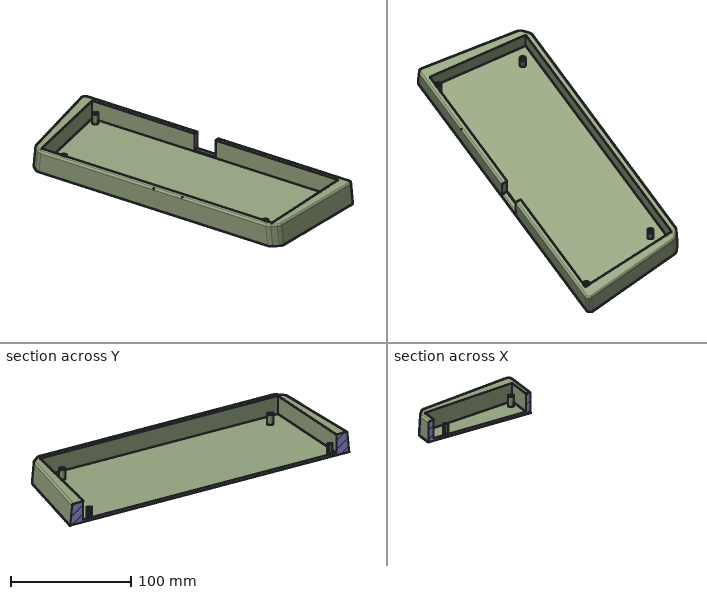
import cadquery as cq

width = 270.0
depth = 100.2
height = 20.0

corner_overhang = 0.5
back_half_width = width / 2 + corner_overhang
chamfer_side_inset = 11.5
chamfer_side_y = 6.5
chamfer_front_inset = 19.5
side_lean = 2.0
back_corner_radius = 3.8
front_corner_radius = 6.2
rim_radius = 1.5

floor_thickness = 3.0
back_wall = 5.0
front_wall = 5.5
cavity_back_half_width = 121.8
cavity_front_half_width = 114.2

notch_left = -20.5
notch_right = 0.5
notch_floor = 4.0
sill_edge_radius = 1.0

standoff_diameter = 5.0
standoff_bore = 2.0
standoff_height = 9.2
back_standoff_x = 115.5
front_standoff_x = 100.0
back_standoff_inset = 10.0
front_standoff_inset = 17.3

back_y = depth / 2
front_y = -depth / 2


def outer_outline(lean):
    """Right half of the sharp outer outline, from back to front, moved inward by the lean."""
    return [
        (back_half_width - lean, back_y),
        (width / 2 - chamfer_side_inset - lean, front_y + chamfer_side_y),
        (width / 2 - chamfer_front_inset - lean, front_y),
    ]


def mirrored(half):
    """Close a right half outline with its mirror image in X."""
    return half + [(-x, y) for x, y in reversed(half)]


def make_shell():
    """Solid block with leaning sides and rounded corners and rim."""
    shell = (
        cq.Workplane("XY")
        .polyline(mirrored(outer_outline(0))).close()
        .workplane(offset=height)
        .polyline(mirrored(outer_outline(side_lean))).close()
        .loft(ruled=True, combine=True)
    )
    front_corners = [edge for edge in shell.edges("not(#Z)").vals() if edge.Center().y < 0]
    shell = shell.newObject(front_corners).fillet(front_corner_radius)
    back_corners = [edge for edge in shell.edges("not(#Z)").vals() if edge.Center().y > 0]
    shell = shell.newObject(back_corners).fillet(back_corner_radius)
    return shell.faces(">Z").edges().fillet(rim_radius)


def make_cavity():
    """Straight-walled pocket, open at the top."""
    half = [
        (cavity_back_half_width, back_y - back_wall),
        (cavity_front_half_width, front_y + front_wall),
    ]
    return (
        cq.Workplane("XY").workplane(offset=floor_thickness)
        .polyline(mirrored(half)).close().extrude(height)
    )


def make_notch():
    """Gap through the back wall, open at the top."""
    gap = cq.Workplane("XY").box(notch_right - notch_left, back_wall, height, centered=False)
    return gap.translate((notch_left, back_y - back_wall, notch_floor))


def round_sill(body):
    """Round the outer edge of the sill under the notch."""
    middle = ((notch_left + notch_right) / 2, back_y, notch_floor)
    return body.edges(cq.selectors.NearestToPointSelector(middle)).fillet(sill_edge_radius)


def make_standoff(x, y):
    """Hollow post standing on the case floor."""
    return (
        cq.Workplane("XY", origin=(x, y, floor_thickness))
        .circle(standoff_diameter / 2).circle(standoff_bore / 2)
        .extrude(standoff_height)
    )


case = round_sill(make_shell().cut(make_cavity()).cut(make_notch()))

standoffs = []
for side in (-1, 1):
    standoffs.append(make_standoff(side * back_standoff_x, back_y - back_standoff_inset))
    standoffs.append(make_standoff(side * front_standoff_x, front_y + front_standoff_inset))

result = cq.Compound.makeCompound([case.val(), *[post.val() for post in standoffs]])